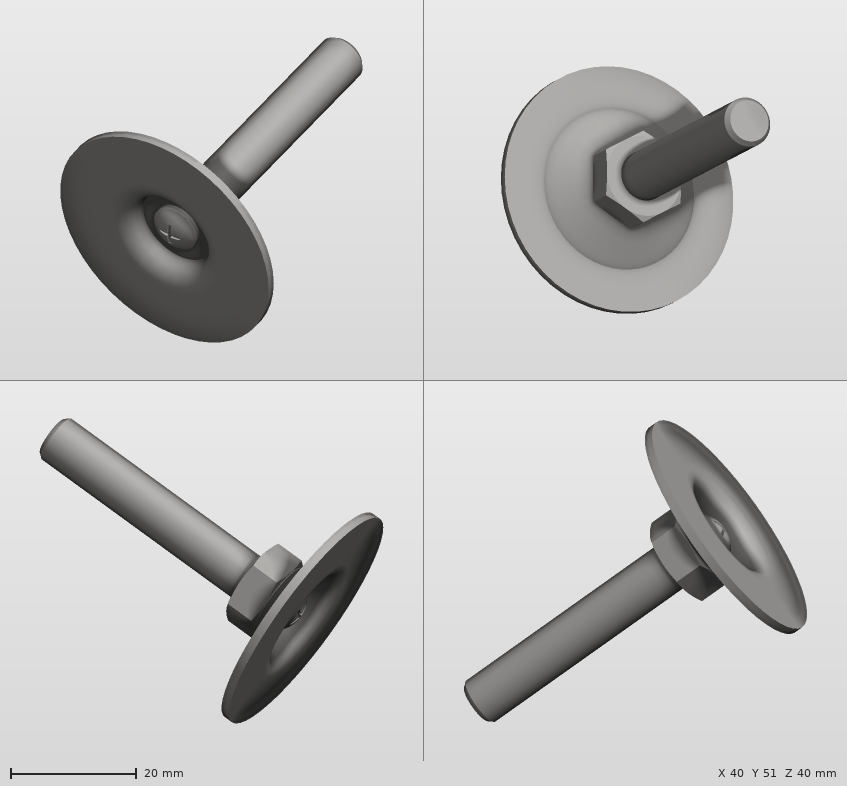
import cadquery as cq
import math

total_length = 51.0

plate_diameter = 40.0
plate_thickness = 1.5
cone_base_radius = 13.1
cone_height = 3.95
collar_radius = 6.4
collar_height = 0.2

recess_floor_radius = 6.75
recess_depth = 4.0

nut_across_flats = 13.0
nut_height = 5.4
nut_chamfer_angle = 20.0

rod_diameter = 8.0
rod_chamfer_length = 0.8
rod_chamfer_width = 0.65

head_side_height = 1.0
dome_height = 1.8
slot_length = 4.0
slot_width = 0.6
slot_depth = 0.5

cone_top = plate_thickness + cone_height
nut_start = cone_top + collar_height
rod_start = nut_start + nut_height
nut_radius = nut_across_flats / 2
rod_radius = rod_diameter / 2


def revolve_about_y(profile):
    return profile.close().revolve(360, (0, 0, 0), (0, 1, 0))


def make_base():
    """Plate, cone and collar, hollowed by a recess with a quarter-round lip."""
    recess_radius = recess_floor_radius + recess_depth
    diagonal = recess_depth * math.sqrt(0.5)
    lip_middle = (recess_radius - diagonal, recess_depth - diagonal)
    return revolve_about_y(
        cq.Workplane("XY")
        .moveTo(0, recess_depth)
        .lineTo(recess_floor_radius, recess_depth)
        .threePointArc(lip_middle, (recess_radius, 0))
        .lineTo(plate_diameter / 2, 0)
        .lineTo(plate_diameter / 2, plate_thickness)
        .lineTo(cone_base_radius, plate_thickness)
        .lineTo(collar_radius, cone_top)
        .lineTo(collar_radius, nut_start)
        .lineTo(0, nut_start)
    )


def make_nut():
    """Hexagon with corners toward +Z and -Z, chamfered at both ends."""
    corner_radius = nut_radius / math.cos(math.radians(30))
    chamfer = (corner_radius - nut_radius) * math.tan(math.radians(nut_chamfer_angle))
    hexagon = (
        cq.Workplane("XZ", origin=(0, nut_start, 0))
        .polygon(6, 2 * corner_radius)
        .extrude(-nut_height)
        .rotate((0, 0, 0), (0, 1, 0), 30)
    )
    envelope = revolve_about_y(
        cq.Workplane("XY")
        .moveTo(0, nut_start)
        .lineTo(nut_radius, nut_start)
        .lineTo(corner_radius, nut_start + chamfer)
        .lineTo(corner_radius, rod_start - chamfer)
        .lineTo(nut_radius, rod_start)
        .lineTo(0, rod_start)
    )
    return hexagon.intersect(envelope)


def make_rod():
    """Rod from inside the nut to its chamfered tip."""
    return revolve_about_y(
        cq.Workplane("XY")
        .moveTo(0, nut_start)
        .lineTo(rod_radius, nut_start)
        .lineTo(rod_radius, total_length - rod_chamfer_length)
        .lineTo(rod_radius - rod_chamfer_width, total_length)
        .lineTo(0, total_length)
    )


def make_head():
    """Short cylinder and spherical dome with a cross slot."""
    dome_start = recess_depth - head_side_height
    apex = dome_start - dome_height
    sphere_radius = (rod_radius**2 + dome_height**2) / (2 * dome_height)
    half_angle = math.asin(rod_radius / sphere_radius) / 2
    dome_middle = (
        sphere_radius * math.sin(half_angle),
        apex + sphere_radius * (1 - math.cos(half_angle)),
    )
    head = revolve_about_y(
        cq.Workplane("XY")
        .moveTo(0, nut_start)
        .lineTo(rod_radius, nut_start)
        .lineTo(rod_radius, dome_start)
        .threePointArc(dome_middle, (0, apex))
    )
    for turn in (0, 90):
        slot = (
            cq.Workplane("XZ")
            .rect(slot_length, slot_width)
            .extrude(-(apex + slot_depth))
            .rotate((0, 0, 0), (0, 1, 0), turn)
        )
        head = head.cut(slot)
    return head


result = make_base().union(make_nut()).union(make_rod()).union(make_head())